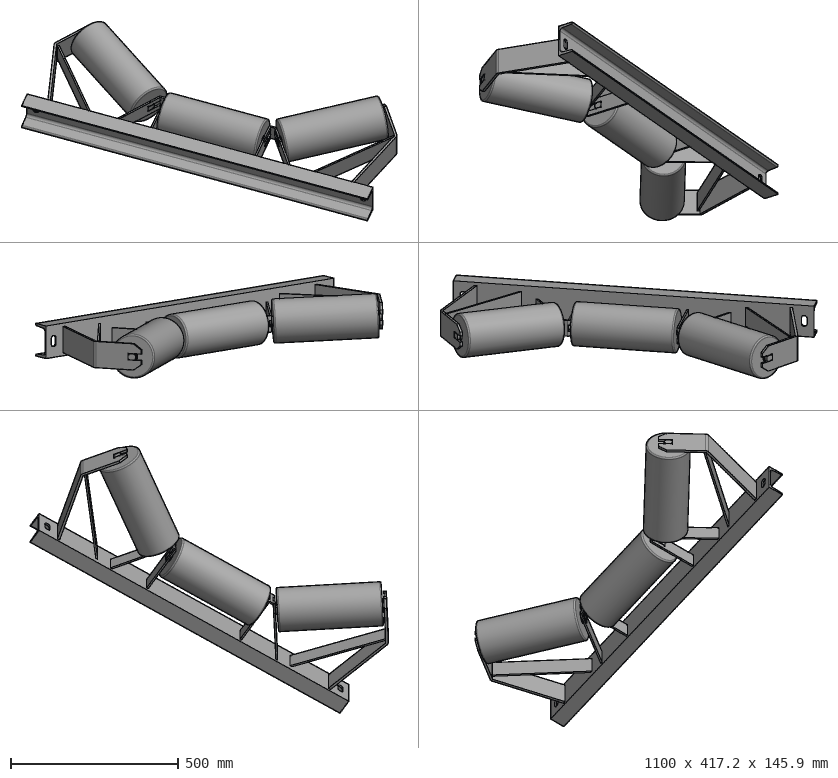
import cadquery as cq
import math

beam_length = 1100
beam_height = 100.0
flange_width = 50.0
web_thickness = 5.0
flange_tip_thickness = 7.0
flange_root_thickness = 10.0
flange_root_radius = 9.0
flange_toe_radius = 4.0
mount_slot_width = 18.0
mount_slot_height = 34.0
mount_slot_inset = 30.0

roller_diameter = 133.0
roller_length = 315.0
roller_edge_radius = 4.0
trough_angle = 35
tilt_angle = 2.3
center_axis_y = 117.0
center_axis_z = -14.0
side_center_x = 339.0
side_center_y = 224.0
side_center_z = -7.2

shaft_diameter = 30.0
shaft_shoulder = 4.0
tang_diameter = 24.0
tang_thickness = 18.0
bracket_gap = 5.0

outer_height = 80.0
inner_height = 51.0
brace_height = 60.0
inner_thickness = 5.0
outer_thickness = 8.0
brace_thickness = 5.0
shaft_slot_width = 20.0
inner_top_y = 160.0
inner_bend_radius = 7.0
outer_bend_radius = 12.0
outer_foot_angle = 15
foot_outer_x = 485.0
outer_tip_above_shaft = 30.0
tip_chamfer_along = 24.0
tip_chamfer_height = 18.0
brace_foot_x = 345.0
brace_top_x = 535.0
brace_top_y = 231.0

tan_trough = math.tan(math.radians(trough_angle))
sin_trough = math.sin(math.radians(trough_angle))
cos_trough = math.cos(math.radians(trough_angle))
tang_radius = tang_diameter / 2
half_roller = roller_length / 2
inner_tang_end = half_roller + bracket_gap + inner_thickness
outer_tang_end = half_roller + bracket_gap + outer_thickness


def side_point(along, across):
    """XY point at a distance along the right roller axis (outward) and across it (upward in Y)."""
    return (
        side_center_x + along * cos_trough - across * sin_trough,
        side_center_y + along * sin_trough + across * cos_trough,
    )


def line_x_at(point, y, slope):
    """X at height y on the line through point, where slope is dX/dY."""
    return point[0] + (y - point[1]) * slope


def strip(points, height, middle_z=0):
    """Upright strip with the given outline in XY, centred on middle_z."""
    base = cq.Workplane("XY", origin=(0, 0, middle_z - height / 2))
    return base.polyline(points).close().extrude(height)


def rod(diameter, start, end):
    """Round bar along X."""
    return cq.Workplane("YZ", origin=(start, 0, 0)).circle(diameter / 2).extrude(end - start)


def mirror_x(shape):
    return shape.mirror("YZ")


def x_edges_near(y, reach_z):
    """Selector for the edges at the given Y that lie within reach_z of mid-height."""
    margin = 1.0
    return cq.selectors.BoxSelector(
        (-beam_length, y - margin, -reach_z - margin),
        (beam_length, y + margin, reach_z + margin),
    )


def make_beam():
    half_height = beam_height / 2
    tip_z = half_height - flange_tip_thickness
    root_z = half_height - flange_root_thickness
    profile = [
        (0, -half_height),
        (-flange_width, -half_height),
        (-flange_width, -tip_z),
        (-web_thickness, -root_z),
        (-web_thickness, root_z),
        (-flange_width, tip_z),
        (-flange_width, half_height),
        (0, half_height),
    ]
    beam = (
        cq.Workplane("YZ", origin=(-beam_length / 2, 0, 0)).polyline(profile).close().extrude(beam_length)
    )
    root_edges = x_edges_near(-web_thickness, root_z)
    toe_edges = x_edges_near(-flange_width, tip_z)
    beam = beam.edges("|X").edges(root_edges).fillet(flange_root_radius)
    beam = beam.edges("|X").edges(toe_edges).fillet(flange_toe_radius)
    slot_x = beam_length / 2 - mount_slot_inset
    mount_slots = (
        cq.Workplane("XZ")
        .pushPoints([(-slot_x, 0), (slot_x, 0)])
        .slot2D(mount_slot_height, mount_slot_width, 90)
        .extrude(web_thickness)
    )
    return beam.cut(mount_slots)


def make_outer_bracket():
    inner_face = half_roller + bracket_gap
    outer_face = inner_face + outer_thickness
    tip_inner = side_point(inner_face, outer_tip_above_shaft)
    tip_outer = side_point(outer_face, outer_tip_above_shaft)
    tan_foot = math.tan(math.radians(outer_foot_angle))
    foot_width = outer_thickness / math.cos(math.radians(outer_foot_angle))
    outer_bend_y = (line_x_at(tip_outer, 0, -tan_trough) - foot_outer_x) / (tan_foot + tan_trough)
    foot_inner_x = foot_outer_x - foot_width
    inner_bend_y = (line_x_at(tip_inner, 0, -tan_trough) - foot_inner_x) / (tan_foot + tan_trough)
    outer_bend = (foot_outer_x + outer_bend_y * tan_foot, outer_bend_y)
    inner_bend = (foot_inner_x + inner_bend_y * tan_foot, inner_bend_y)
    bracket = strip(
        [(foot_inner_x, 0), (foot_outer_x, 0), outer_bend, tip_outer, tip_inner, inner_bend],
        outer_height,
    )
    bracket = bracket.edges("|Z and >X").fillet(outer_bend_radius)
    return bracket.cut(make_outer_tip_cuts(inner_face))


def make_outer_tip_cuts(inner_face):
    """Shaft slot and the two corner chamfers at the free end of the outer bracket."""
    half_height = outer_height / 2
    tip_plane = cq.Plane(
        origin=(*side_point(inner_face - bracket_gap / 2, 0), 0),
        xDir=(-sin_trough, cos_trough, 0),
        normal=(cos_trough, sin_trough, 0),
    )
    depth = outer_thickness + bracket_gap
    slot_length = outer_tip_above_shaft + tang_radius
    cuts = (
        cq.Workplane(tip_plane)
        .center(slot_length / 2 - tang_radius, 0)
        .rect(slot_length, shaft_slot_width)
        .extrude(depth)
    )
    for side in (-1, 1):
        corner = [
            (outer_tip_above_shaft, side * half_height),
            (outer_tip_above_shaft - tip_chamfer_along, side * half_height),
            (outer_tip_above_shaft, side * (half_height - tip_chamfer_height)),
        ]
        cuts = cuts.union(cq.Workplane(tip_plane).polyline(corner).close().extrude(depth))
    return cuts


def make_brace():
    reach = math.hypot(brace_top_x - brace_foot_x, brace_top_y)
    half_foot = brace_thickness / 2 * reach / brace_top_y
    return strip(
        [
            (brace_foot_x - half_foot, 0),
            (brace_foot_x + half_foot, 0),
            (brace_top_x + half_foot, brace_top_y),
            (brace_top_x - half_foot, brace_top_y),
        ],
        brace_height,
    )


def make_inner_bracket():
    """One strip bent to carry the centre roller on one leg and the side roller on the other."""
    roller_face_x = half_roller + bracket_gap
    back_face_x = roller_face_x + inner_thickness
    slant_face = side_point(-half_roller - bracket_gap, 0)
    slant_back = side_point(-half_roller - bracket_gap - inner_thickness, 0)
    bridge_y = inner_top_y - inner_thickness
    bracket = strip(
        [
            (roller_face_x, 0),
            (roller_face_x, inner_top_y),
            (line_x_at(slant_face, inner_top_y, -tan_trough), inner_top_y),
            (line_x_at(slant_face, 0, -tan_trough), 0),
            (line_x_at(slant_back, 0, -tan_trough), 0),
            (line_x_at(slant_back, bridge_y, -tan_trough), bridge_y),
            (back_face_x, bridge_y),
            (back_face_x, 0),
        ],
        inner_height,
        center_axis_z,
    )
    bracket = bracket.edges("|Z and <X and >Y").fillet(inner_bend_radius)
    return bracket.cut(make_inner_slots())


def make_inner_slots():
    """Open slots down each leg, as deep as the shaft that rests in it."""
    slot_reach = inner_top_y
    leg_span = bracket_gap + inner_thickness
    cutter = cq.Workplane("XY").box(
        leg_span, slot_reach, shaft_slot_width, centered=(False, False, True)
    )
    center_slot = cutter.translate((half_roller, center_axis_y - tang_radius, center_axis_z))
    inner_end = -half_roller - leg_span
    slot_z = side_center_z + inner_end * math.sin(math.radians(tilt_angle))
    side_slot = cutter.rotate((0, 0, 0), (0, 0, 1), trough_angle).translate(
        (*side_point(inner_end, -tang_radius), slot_z)
    )
    return center_slot.union(side_slot)


def make_frame():
    frame = make_beam()
    for part in (make_outer_bracket(), make_brace(), make_inner_bracket()):
        frame = frame.union(part).union(mirror_x(part))
    return frame


def make_roller():
    shell = rod(roller_diameter, -half_roller, half_roller).edges().fillet(roller_edge_radius)
    return shell.cut(rod(shaft_diameter, -half_roller, half_roller))


def make_shaft(inner_end, outer_end):
    """Shaft along X whose flattened ends reach from inner_end to outer_end."""
    body_end = half_roller + shaft_shoulder
    flats = cq.Workplane("XY").box(2 * outer_end, tang_diameter, tang_thickness)
    tang = rod(tang_diameter, inner_end, outer_end).intersect(flats)
    return rod(shaft_diameter, -body_end, body_end).union(tang)


def place_center(body):
    return body.translate((0, center_axis_y, center_axis_z))


def place_right(body):
    """Tilt the outer end up, swing it to the trough angle and move it to the right side."""
    tilted = body.rotate((0, 0, 0), (0, 1, 0), -tilt_angle)
    swung = tilted.rotate((0, 0, 0), (0, 0, 1), trough_angle)
    return swung.translate((side_center_x, side_center_y, side_center_z))


def place_left(body):
    return mirror_x(place_right(body))


frame = make_frame()
center_shaft = make_shaft(-inner_tang_end, inner_tang_end)
side_shaft = make_shaft(-inner_tang_end, outer_tang_end)
rollers = []
shafts = []
for place, shaft in ((place_left, side_shaft), (place_center, center_shaft), (place_right, side_shaft)):
    rollers.append(place(make_roller()).solids().val())
    shafts.append(place(shaft).solids().val())

result = cq.Compound.makeCompound([frame.solids().val(), *rollers, *shafts])